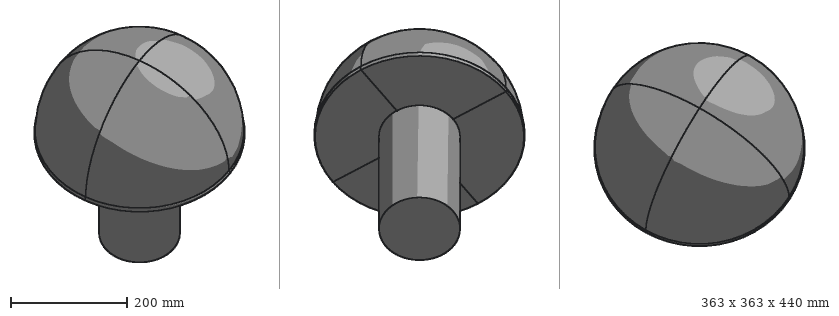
import cadquery as cq

total_height = 440.0
stem_radius = 70.0
stem_height = 250.5
dome_radius = 180.0
rim_radius = 181.5
panel_count = 4

rim_top = total_height - dome_radius
rim_middle = (stem_height + rim_top) / 2
panel_angle = 360 / panel_count


def make_stem():
    """Round column that carries the cap."""
    return cq.Workplane("XY").circle(stem_radius).extrude(stem_height)


def make_cap_panel():
    """Sector of the hemispherical cap, with its share of the rounded rim, starting at +X."""
    half_section = (
        cq.Workplane("XZ")
        .moveTo(0, stem_height)
        .lineTo(dome_radius, stem_height)
        .threePointArc((rim_radius, rim_middle), (dome_radius, rim_top))
        .radiusArc((0, total_height), -dome_radius)
        .close()
    )
    return half_section.revolve(panel_angle, (0, 0, 0), (0, 1, 0))


def make_cap_panels():
    """Equal panels around the stem axis that meet along the dome's meridians."""
    panel = make_cap_panel()
    panels = []
    for index in range(panel_count):
        panels.append(panel.rotate((0, 0, 0), (0, 0, 1), index * panel_angle))
    return panels


stem = make_stem()
cap_panels = make_cap_panels()

result = cq.Compound.makeCompound([stem.val(), *[panel.val() for panel in cap_panels]])